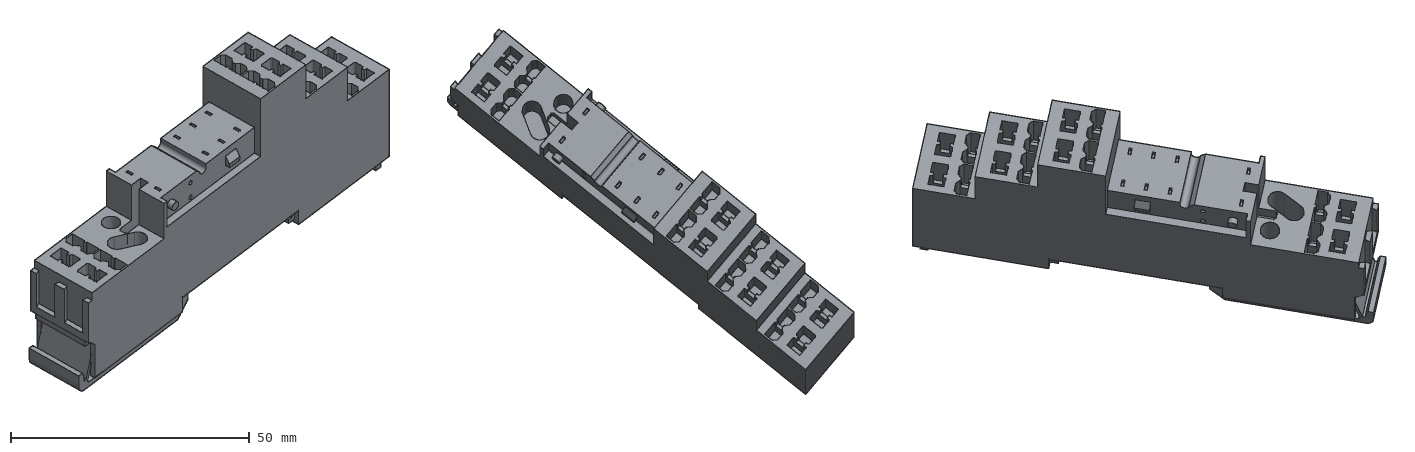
import cadquery as cq
import math

LENGTH = 98.1
WIDTH = 16.0
HEIGHT = 45.2

BODY_BOTTOM = 2.6
RAIL_TOP = 6.6
FIRST_STEP_Z = 26.7
SECOND_STEP_Z = 35.9
RELAY_TOP = 36.4
LEDGE_Z = 29.3

STEP_PITCH = 13.3
TIER_REARS = [LENGTH - i * STEP_PITCH for i in range(3)]
TOWER_FRONT = 56.9
WALL_REAR = 27.0
WALL_FRONT = 26.0
RAIL_REAR = 69.1
RAIL_FRONT = 32.0
SHELF_FRONT = 2.9
SKIRT_FRONT = 3.8

SQUARE_LENGTH = 3.4
SQUARE_OFFSET = 2.9
ARCH_LENGTH = 2.8
ARCH_OFFSET = 8.6
OUTER_SQUARE_X = (4.2, 6.4)
INNER_SQUARE_X = (1.0, 3.4)
OUTER_ARCH_X = (4.2, 7.6)
INNER_ARCH_X = (0.2, 3.4)
TERMINAL_DEPTH = 7.8
BRIDGE_DEPTH = 2.9
SQUARE_BRIDGE_INSET = 0.7
ARCH_BRIDGE_FRONT_INSET = 0.3
ARCH_BRIDGE_REAR_INSET = 0.9
SQUARE_ROUND = 0.3
ARCH_CHAMFER = 0.8
FRONT_ARCH_REAR = 14.6
FRONT_SQUARE_FRONT = 6.2

RELAY_WIDTH = 12.6
GRIP_REAR = 41.4
GRIP_RADIUS = 1.0
GRIP_DEPTH = 2.0
GRIP_RAMP = 1.1
TEST_SLOT_X = 3.9
TEST_SLOT_STATIONS = (54.1, 49.05, 43.9, 28.7)
TEST_SLOT_SIZE = (1.5, 0.6)
TEST_SLOT_DEPTH = 1.0
LATCH_Y = (47.7, 51.0)
LATCH_Z = (31.9, 32.8, 34.4)
LATCH_REACH = 1.1
PIN_Y = 30.0
PIN_Z = 32.9
PIN_DIAMETER = 2.1
PIN_REACH = 1.4
DIMPLE_Y = 36.5
DIMPLE_LEVELS = (30.3, 34.3)
DIMPLE_DIAMETER = 1.0
DIMPLE_DEPTH = 0.5

KEY_SLOT_WIDTH = 2.1
KEY_SLOT_Y = (22.0, 28.9)
KEY_SLOT_DEPTH = 2.9
KEY_SLOT_CHAMFER = 0.4
SCREW_CENTRE = (-3.8, 22.7)
SCREW_DIAMETER = 4.0
OBLONG_ENDS = ((3.7, 22.5), (1.5, 18.5))
OBLONG_WIDTH = 4.1
SHELF_HOLE_DEPTH = 9.8

HOLDER_FRONT = 1.8
HOLDER_TOP = 24.6
HOLDER_BOTTOM = 13.5
LABEL_FLOOR = 15.5
RIB_HALF = 1.4
POST_HALF = 6.4
UNDERCUT = 0.34
LIP_FRONT = 2.1
LIP_BOTTOM = 11.9

CLIP_WIDTH = 13.7
CAVITY_REAR = 5.9
CLIP_NECK_Y = 33.2
CLIP_HOOK_Y = 35.0
CLIP_HOOK_LEVELS = (3.5, 5.4)
CLIP_HEEL_Y = 31.7
NOSE_Y = 1.3
NOSE_Z = 2.2
NOSE_MIDDLE = (0.4, 0.8)
TAB_TOP = 5.0
TAB_TOP_REAR = 1.2
TAB_SHOULDER_Z = 3.9
NOTCH_Y = (1.7, 2.4)
NOTCH_FLOOR = 2.55
ARM_TIP_Y = 4.8
ARM_TOP = 11.2
ARM_THICKNESS = 0.7
ARM_ROOT = (2.8, 1.9)
BAR_THIN_END = (3.2, 1.3)
BAR_CONTACT_Y = 26.5
HOOK_LEVELS = (3.5, 4.5)
HOOK_NECK_Y = 68.2
HOOK_TIP_Y = 67.2
FOOT_Y = (95.1, 96.7)


def box(x, y, z):
    """Axis-aligned box from (low, high) pairs."""
    size = [high - low for low, high in (x, y, z)]
    return cq.Workplane().box(*size, centered=False).translate((x[0], y[0], z[0]))


def centred_box(width, y, z):
    """Box of the given width, symmetric about X = 0."""
    return box((-width / 2, width / 2), y, z)


def centred_prism(points, width):
    """Closed outline in (Y, Z) extruded symmetrically about X = 0."""
    return cq.Workplane("YZ").polyline(points).close().extrude(width / 2, both=True)


def mirrored(shape):
    """The shape together with its mirror image in X."""
    return shape.union(shape.mirror("YZ"))


def make_body():
    outline = [
        (LENGTH, BODY_BOTTOM),
        (LENGTH, FIRST_STEP_Z),
        (TIER_REARS[1], FIRST_STEP_Z),
        (TIER_REARS[1], SECOND_STEP_Z),
        (TIER_REARS[2], SECOND_STEP_Z),
        (TIER_REARS[2], HEIGHT),
        (TOWER_FRONT, HEIGHT),
        (TOWER_FRONT, LEDGE_Z),
        (WALL_REAR, LEDGE_Z),
        (WALL_REAR, RELAY_TOP),
        (WALL_FRONT, RELAY_TOP),
        (WALL_FRONT, FIRST_STEP_Z),
        (SHELF_FRONT, FIRST_STEP_Z),
        (SHELF_FRONT, HOLDER_BOTTOM),
        (LIP_FRONT, HOLDER_BOTTOM),
        (SKIRT_FRONT, LIP_BOTTOM),
        (SKIRT_FRONT, BODY_BOTTOM),
        (RAIL_FRONT, BODY_BOTTOM),
        (RAIL_FRONT, RAIL_TOP),
        (RAIL_REAR, RAIL_TOP),
        (RAIL_REAR, BODY_BOTTOM),
    ]
    return centred_prism(outline, WIDTH)


def make_relay():
    """Relay block with its finger groove, test slots, latches, pins and dimples."""
    half = RELAY_WIDTH / 2
    relay = centred_box(RELAY_WIDTH, (WALL_REAR, TOWER_FRONT), (LEDGE_Z, RELAY_TOP))

    grip_centre_y = GRIP_REAR - GRIP_RADIUS
    grip_centre_z = RELAY_TOP - GRIP_DEPTH + GRIP_RADIUS
    grip_front = GRIP_REAR - 2 * GRIP_RADIUS
    grip = (
        cq.Workplane("YZ")
        .moveTo(GRIP_REAR, RELAY_TOP)
        .lineTo(GRIP_REAR, grip_centre_z)
        .threePointArc((grip_centre_y, RELAY_TOP - GRIP_DEPTH), (grip_front, grip_centre_z))
        .lineTo(grip_front - GRIP_RAMP, RELAY_TOP)
        .close()
        .extrude(half, both=True)
    )
    relay = relay.cut(grip)

    test_points = [(sx * TEST_SLOT_X, y) for sx in (-1, 1) for y in TEST_SLOT_STATIONS]
    relay = relay.cut(
        cq.Workplane(origin=(0, 0, RELAY_TOP))
        .pushPoints(test_points)
        .rect(*TEST_SLOT_SIZE)
        .extrude(-TEST_SLOT_DEPTH)
    )

    low, shoulder, top = LATCH_Z
    reach = half + LATCH_REACH
    latch_outline = [
        (-half, top),
        (half, top),
        (reach, shoulder),
        (reach, low),
        (-reach, low),
        (-reach, shoulder),
    ]
    latches = (
        cq.Workplane("XZ", origin=(0, LATCH_Y[1], 0))
        .polyline(latch_outline)
        .close()
        .extrude(LATCH_Y[1] - LATCH_Y[0])
    )
    pins = (
        cq.Workplane("YZ")
        .center(PIN_Y, PIN_Z)
        .circle(PIN_DIAMETER / 2)
        .extrude(half + PIN_REACH, both=True)
    )

    dimples = mirrored(
        cq.Workplane("YZ", origin=(half - DIMPLE_DEPTH, 0, 0))
        .pushPoints([(DIMPLE_Y, z) for z in DIMPLE_LEVELS])
        .circle(DIMPLE_DIAMETER / 2)
        .extrude(DIMPLE_DEPTH)
    )
    return relay.union(latches).union(pins).cut(dimples)


def make_terminals(square_y, arch_y, top, arch_side):
    """Tool for one tier of openings; arch_side selects the end of each arch with cut corners."""
    deep = (top - TERMINAL_DEPTH, top)
    shallow = (top - BRIDGE_DEPTH, top)

    openings = box(OUTER_SQUARE_X, square_y, deep)
    openings = openings.union(box(INNER_SQUARE_X, square_y, deep).edges("|Z").fillet(SQUARE_ROUND))
    for arch_x in (OUTER_ARCH_X, INNER_ARCH_X):
        arch = box(arch_x, arch_y, deep).faces(arch_side).edges("|Z").chamfer(ARCH_CHAMFER)
        openings = openings.union(arch)

    square_bridge_y = (square_y[0] + SQUARE_BRIDGE_INSET, square_y[1] - SQUARE_BRIDGE_INSET)
    insets = (ARCH_BRIDGE_FRONT_INSET, ARCH_BRIDGE_REAR_INSET)
    if arch_side == "<Y":
        insets = insets[::-1]
    arch_bridge_y = (arch_y[0] + insets[0], arch_y[1] - insets[1])
    openings = openings.union(box((INNER_SQUARE_X[1], OUTER_SQUARE_X[0]), square_bridge_y, shallow))
    openings = openings.union(box((INNER_ARCH_X[1], OUTER_ARCH_X[0]), arch_bridge_y, shallow))
    return mirrored(openings)


def cut_terminals(part):
    for rear, top in zip(TIER_REARS, (FIRST_STEP_Z, SECOND_STEP_Z, HEIGHT)):
        square_rear = rear - SQUARE_OFFSET
        arch_rear = rear - ARCH_OFFSET
        square_y = (square_rear - SQUARE_LENGTH, square_rear)
        arch_y = (arch_rear - ARCH_LENGTH, arch_rear)
        part = part.cut(make_terminals(square_y, arch_y, top, ">Y"))
    square_y = (FRONT_SQUARE_FRONT, FRONT_SQUARE_FRONT + SQUARE_LENGTH)
    arch_y = (FRONT_ARCH_REAR - ARCH_LENGTH, FRONT_ARCH_REAR)
    return part.cut(make_terminals(square_y, arch_y, FIRST_STEP_Z, "<Y"))


def cut_shelf_openings(part):
    """Key slot through the retaining wall, screw hole and slanted oblong hole."""
    key_slot = centred_box(KEY_SLOT_WIDTH, KEY_SLOT_Y, (FIRST_STEP_Z - KEY_SLOT_DEPTH, RELAY_TOP))
    key_slot = key_slot.faces("<Y").edges("|Z").chamfer(KEY_SLOT_CHAMFER)

    shelf = cq.Workplane(origin=(0, 0, FIRST_STEP_Z))
    screw = shelf.center(*SCREW_CENTRE).circle(SCREW_DIAMETER / 2).extrude(-SHELF_HOLE_DEPTH)

    start, end = (cq.Vector(*point) for point in OBLONG_ENDS)
    axis = end - start
    angle = math.degrees(math.atan2(axis.y, axis.x))
    middle = (start + end) * 0.5
    oblong = (
        shelf.center(middle.x, middle.y)
        .transformed(rotate=(0, 0, angle))
        .slot2D(axis.Length + OBLONG_WIDTH, OBLONG_WIDTH)
        .extrude(-SHELF_HOLE_DEPTH)
    )
    return part.cut(key_slot).cut(screw).cut(oblong)


def make_label_holder():
    """Front plate with two undercut label pockets open at the top, over a narrower lip."""
    plate = centred_box(WIDTH, (HOLDER_FRONT, SHELF_FRONT), (HOLDER_BOTTOM, HOLDER_TOP))
    pocket_outline = [
        (RIB_HALF, HOLDER_FRONT),
        (POST_HALF, HOLDER_FRONT),
        (POST_HALF + UNDERCUT, SHELF_FRONT),
        (RIB_HALF - UNDERCUT, SHELF_FRONT),
    ]
    pocket = (
        cq.Workplane(origin=(0, 0, LABEL_FLOOR))
        .polyline(pocket_outline)
        .close()
        .extrude(HOLDER_TOP - LABEL_FLOOR)
    )
    lip = centred_box(CLIP_WIDTH, (LIP_FRONT, CAVITY_REAR), (LIP_BOTTOM, HOLDER_BOTTOM))
    return plate.cut(mirrored(pocket)).union(lip)


def make_clip():
    """Sprung rail clip: hook at the rear, tapered bar, leaning arm and upturned pull tab."""
    hook_low, hook_high = CLIP_HOOK_LEVELS
    return (
        cq.Workplane("YZ")
        .moveTo(RAIL_FRONT, RAIL_TOP)
        .lineTo(CLIP_NECK_Y, RAIL_TOP)
        .lineTo(CLIP_NECK_Y, hook_high)
        .lineTo(CLIP_HOOK_Y, hook_high)
        .lineTo(CLIP_HOOK_Y, hook_low)
        .lineTo(CLIP_HEEL_Y, 0)
        .lineTo(NOSE_Y, 0)
        .threePointArc(NOSE_MIDDLE, (0, NOSE_Z))
        .lineTo(0, TAB_TOP)
        .lineTo(TAB_TOP_REAR, TAB_TOP)
        .lineTo(NOTCH_Y[0], TAB_SHOULDER_Z)
        .lineTo(NOTCH_Y[0], NOTCH_FLOOR)
        .lineTo(NOTCH_Y[1], NOTCH_FLOOR)
        .lineTo(ARM_TIP_Y, ARM_TOP)
        .lineTo(ARM_TIP_Y + ARM_THICKNESS, ARM_TOP)
        .lineTo(*ARM_ROOT)
        .lineTo(*BAR_THIN_END)
        .lineTo(BAR_CONTACT_Y, BODY_BOTTOM)
        .lineTo(RAIL_FRONT, BODY_BOTTOM)
        .close()
        .extrude(CLIP_WIDTH / 2, both=True)
    )


def make_rail_hook():
    low, high = HOOK_LEVELS
    neck = centred_box(CLIP_WIDTH, (HOOK_NECK_Y, RAIL_REAR), (low, RAIL_TOP))
    tip = centred_box(CLIP_WIDTH, (HOOK_TIP_Y, HOOK_NECK_Y), (low, high))
    return neck.union(tip)


result = make_body().union(make_relay())
result = cut_terminals(result)
result = cut_shelf_openings(result)
result = result.union(make_label_holder())
result = result.cut(centred_box(CLIP_WIDTH, (0, CAVITY_REAR), (BODY_BOTTOM, LIP_BOTTOM)))
result = result.union(make_clip())
result = result.union(make_rail_hook())
result = result.union(centred_box(CLIP_WIDTH, FOOT_Y, (0, BODY_BOTTOM)))